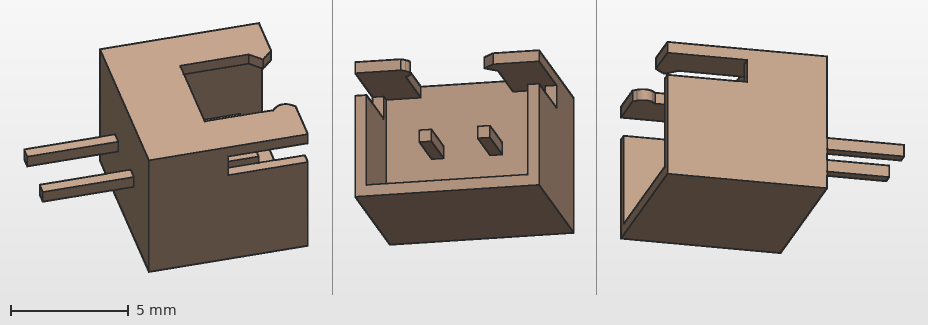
import cadquery as cq
import math

overall_length = 11
housing_width = 8.0
housing_depth = 7.0
housing_height = 6.0
wall = 0.5
cavity_depth = 4.0

opening_width = 4.0
nub_height = 0.5
nub_length = 2 * nub_height
nub_radius = 0.5

slot_depth = 3.5
slot_height = 1.0

pin_side = 0.53
pin_pitch = 2.54
contact_length = 2.5
tail_length = overall_length - housing_depth

mouth_y = housing_depth
cavity_floor_y = mouth_y - cavity_depth
roof_underside = housing_height / 2 - wall


def box_between(width, y_start, y_end, z_bottom, z_top, x_center=0):
    """Box of the given X width between two Y and two Z positions."""
    size_y = y_end - y_start
    size_z = z_top - z_bottom
    box = cq.Workplane("XY").box(width, size_y, size_z, centered=(True, False, False))
    return box.translate((x_center, y_start, z_bottom))


def make_roof_opening():
    """Cutter for the roof opening: a sharp nub at -X and a rounded one at +X."""
    edge_x = opening_width / 2
    nub_base_y = mouth_y - nub_length
    nub_peak_y = mouth_y - nub_height

    tip_offset = nub_radius * math.sqrt(0.5)
    tip_x = edge_x - nub_height
    tangent_x = tip_x + tip_offset
    crown_x = tip_x + nub_radius * (math.sqrt(2) - 1)

    return (
        cq.Workplane("XY", origin=(0, 0, roof_underside))
        .moveTo(-edge_x, cavity_floor_y)
        .lineTo(edge_x, cavity_floor_y)
        .lineTo(edge_x, nub_base_y)
        .lineTo(tangent_x, nub_peak_y - tip_offset)
        .threePointArc((crown_x, nub_peak_y), (tangent_x, nub_peak_y + tip_offset))
        .lineTo(edge_x, mouth_y)
        .lineTo(-edge_x, mouth_y)
        .lineTo(-edge_x + nub_height, nub_peak_y)
        .lineTo(-edge_x, nub_base_y)
        .close()
        .extrude(wall)
    )


def make_housing():
    """Block with its cavity, roof opening and side slots."""
    half_height = housing_height / 2
    block = box_between(housing_width, 0, mouth_y, -half_height, half_height)
    cavity = box_between(
        housing_width - 2 * wall, cavity_floor_y, mouth_y, -roof_underside, roof_underside
    )
    side_slots = box_between(
        housing_width, mouth_y - slot_depth, mouth_y, roof_underside - slot_height, roof_underside
    )
    return block.cut(cavity).cut(side_slots).cut(make_roof_opening())


def make_contact(x_center):
    """Square contact standing on the cavity floor."""
    contact_end_y = cavity_floor_y + contact_length
    return box_between(
        pin_side, cavity_floor_y, contact_end_y, -pin_side / 2, pin_side / 2, x_center
    )


def make_tail(x_center):
    """Square tail standing on the outside of the housing."""
    return box_between(pin_side, -tail_length, 0, -pin_side / 2, pin_side / 2, x_center)


housing = make_housing()
contacts = []
tails = []
for pin_x in (-pin_pitch / 2, pin_pitch / 2):
    contacts.append(make_contact(pin_x).val())
    tails.append(make_tail(pin_x).val())

result = cq.Compound.makeCompound([housing.val(), *contacts, *tails])